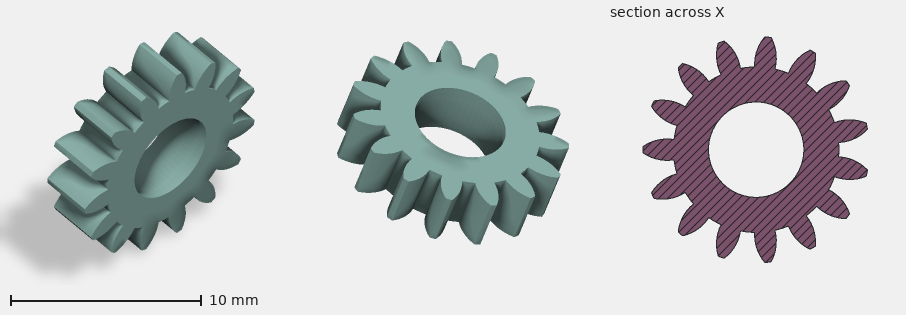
import cadquery as cq
import math

tooth_count = 15
face_width = 3.0
bore_radius = 2.49
root_radius = 4.35
overall_height = 11.86

root_half_thickness = 0.55
middle_radius = 5.34
middle_half_thickness = 0.47
tip_half_angle = 1.6

tooth_pitch = 360 / tooth_count
first_tooth_angle = 180.0

top_corner_angle = math.radians(tooth_pitch / 4 - tip_half_angle)
tip_radius = overall_height / 2 / math.cos(top_corner_angle)
tip_half_thickness = tip_radius * math.sin(math.radians(tip_half_angle))


def on_circle(radius, half_thickness):
    """Point on a circle about the axis, offset sideways from the tooth centre line."""
    return (math.sqrt(radius**2 - half_thickness**2), half_thickness)


def mirrored(point):
    """Matching point on the opposite flank."""
    return (point[0], -point[1])


def make_tooth(angle):
    """Tooth with arched flanks and a tip arc, turned about X to its place."""
    root = on_circle(root_radius, root_half_thickness)
    middle = on_circle(middle_radius, middle_half_thickness)
    tip = on_circle(tip_radius, tip_half_thickness)
    return (
        cq.Workplane("YZ")
        .moveTo(0, 0)
        .lineTo(*root)
        .threePointArc(middle, tip)
        .threePointArc((tip_radius, 0), mirrored(tip))
        .threePointArc(mirrored(middle), mirrored(root))
        .close()
        .extrude(face_width / 2, both=True)
        .rotate((0, 0, 0), (1, 0, 0), angle)
    )


gear = cq.Workplane("YZ").circle(root_radius).extrude(face_width / 2, both=True)
for index in range(tooth_count):
    gear = gear.union(make_tooth(first_tooth_angle + index * tooth_pitch))

bore = cq.Workplane("YZ").circle(bore_radius).extrude(face_width / 2, both=True)
result = gear.cut(bore)